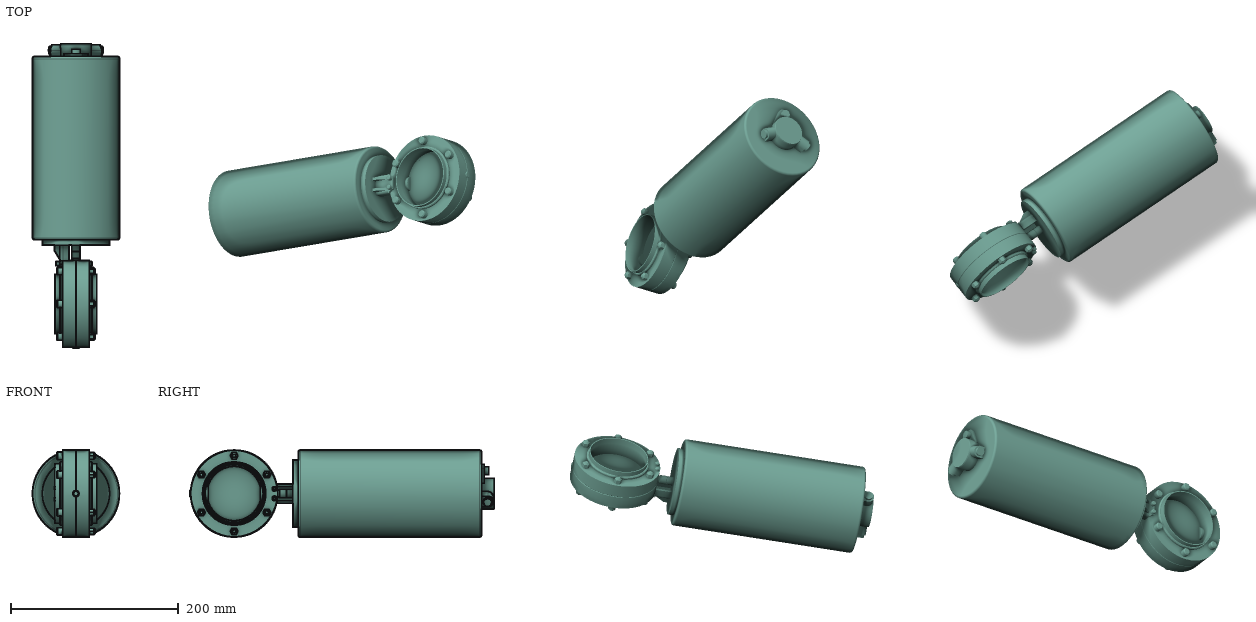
import cadquery as cq
import math


actuator_back = 295.3
actuator_front = 76.55
boss_front = 70.2
coupling_joint = 62.5
cap_back = 310.5
stem_tip = -53.0

outer_radius = 52.0
shell_fillet = 2.5
boss_radius = 40.2
rod_radius = 5.0
joint_chamfer = 0.55

cap_radius = 18.5
cap_edge_length = 1.5
cap_edge_depth = 0.5
plate_thickness = 3.3
plate_radius = 8.0
plate_height = 27.1
plate_foot_height = 12.0
plate_foot_half_width = 14.5
plug_radius = 4.9
plug_length = 5.5
port_tilt = 25
port_axis_height = 3.45
port_reach = 30.5
port_half_width = 7.0
port_axis_rise = 7.3
nozzle_radius = 5.0
nozzle_length = 3.3

flange_half_width = 16.0
parting_chamfer = 0.55
collar_radius = 38.0
collar_end = 19.3
collar_chamfer = 1.0
tube_radius = 35.5
tube_end = 25.0
bore_radius = 34.5
seat_radius = 32.5
seat_half_width = 2.2

bolt_count = 6
bolt_circle = 45.0
bolt_radius = 4.55
bolt_end = 23.1
head_chamfer = 1.27
nut_chamfer_length = 2.2
nut_chamfer_depth = 2.5

stem_radius = 3.5
stem_chamfer = 0.7
coupling_shoulder = 54.35
hub_radius = 8.7
hub_face = 31.0
hub_back = 35.5

sheet = 3.3
bracket_half_height = 11.5
channel_edge = 8.2
tab_end = 44.7
tab_shoulder = 47.3
tab_half_height = 8.5
tab_fillet = 2.2
gusset_depth = 6.5
gusset_thickness = 3.3
gusset_straight_end = 63.5
gusset_tip = 52.7
screw_y = 48.0
screw_spacing = 11.3
screw_radius = 2.73
screw_head_height = 4.9
screw_head_chamfer = 0.7
screw_end_length = 3.5
screw_end_chamfer = 1.0


def rod_along_y(radius, start, end, x=0, z=0):
    """Cylinder along Y between two Y places."""
    return cq.Workplane("XZ", origin=(x, start, z)).circle(radius).extrude(start - end)


def rod_along_x(radius, start, end, y=0, z=0):
    """Cylinder along X between two X places."""
    length = end - start
    return cq.Workplane(cq.Solid.makeCylinder(radius, length, cq.Vector(start, y, z), cq.Vector(1, 0, 0)))



def cable_plate():
    """Teardrop plate with a round plug; its flanks are tangent to the round top."""
    drop = plate_height - plate_foot_height
    distance = math.hypot(plate_foot_half_width, drop)
    flank = math.acos(plate_radius / distance) - math.atan2(drop, plate_foot_half_width)
    tangent_x = plate_radius * math.cos(flank)
    tangent_z = plate_height + plate_radius * math.sin(flank)
    plate = (
        cq.Workplane("XZ", origin=(0, actuator_back, 0))
        .moveTo(-plate_foot_half_width, plate_foot_height)
        .lineTo(plate_foot_half_width, plate_foot_height)
        .lineTo(tangent_x, tangent_z)
        .threePointArc((0, plate_height + plate_radius), (-tangent_x, tangent_z))
        .close()
        .extrude(-plate_thickness)
    )
    plug_start = actuator_back + plate_thickness
    plug = rod_along_y(plug_radius, actuator_back, plug_start + plug_length, z=plate_height)
    return plate.union(plug)


def air_port():
    """Port along +X, tilted down, with a round-backed body and a round nozzle."""
    port_axis_y = actuator_back + port_axis_rise
    body = (
        cq.Workplane("YZ")
        .moveTo(actuator_back, -port_half_width)
        .lineTo(port_axis_y, -port_half_width)
        .threePointArc((port_axis_y + port_half_width, 0), (port_axis_y, port_half_width))
        .lineTo(actuator_back, port_half_width)
        .close()
        .extrude(port_reach)
    )
    nozzle = rod_along_x(nozzle_radius, 0, port_reach + nozzle_length, y=port_axis_y)
    port = body.union(nozzle).rotate((0, 0, 0), (0, 1, 0), port_tilt)
    return port.translate((0, 0, port_axis_height))


def make_actuator():
    shell = rod_along_y(outer_radius, actuator_front, actuator_back).edges("%CIRCLE").fillet(shell_fillet)
    boss = rod_along_y(boss_radius, boss_front, actuator_front)
    rod = rod_along_y(rod_radius, coupling_joint, boss_front).faces("<Y").chamfer(joint_chamfer)
    cap = rod_along_y(cap_radius, actuator_back, cap_back)
    cap = cap.faces(">Y").chamfer(cap_edge_length, cap_edge_depth)
    port = air_port()
    actuator = shell.union(boss).union(rod).union(cap).union(cable_plate())
    return actuator.union(port).union(port.mirror("YZ"))



def stem_hubs():
    """Flat-faced hubs around the stem, one on each side, let into the bore wall."""
    hub = rod_along_y(hub_radius, hub_face, hub_back)
    return hub.union(hub.mirror("XZ"))


def make_disc():
    disc = rod_along_x(seat_radius, -seat_half_width, seat_half_width)
    driven_stem = (
        cq.Workplane("XY")
        .moveTo(0, hub_face)
        .lineTo(stem_radius, hub_face)
        .lineTo(stem_radius, outer_radius)
        .lineTo(rod_radius, coupling_shoulder)
        .lineTo(rod_radius, coupling_joint - joint_chamfer)
        .lineTo(rod_radius - joint_chamfer, coupling_joint)
        .lineTo(0, coupling_joint)
        .close()
        .revolve(360, (0, 0), (0, 1))
    )
    free_stem = rod_along_y(stem_radius, stem_tip, -hub_face).faces("<Y").chamfer(stem_chamfer)
    return disc.union(stem_hubs()).union(driven_stem).union(free_stem)



def valve_half():
    """Half body on the +X side, turned about X, with stem and hub recesses."""
    half = (
        cq.Workplane("XZ")
        .moveTo(0, seat_radius)
        .lineTo(0, outer_radius - parting_chamfer)
        .lineTo(parting_chamfer, outer_radius)
        .lineTo(flange_half_width, outer_radius)
        .lineTo(flange_half_width, collar_radius)
        .lineTo(collar_end - collar_chamfer, collar_radius)
        .lineTo(collar_end, collar_radius - collar_chamfer)
        .lineTo(collar_end, tube_radius)
        .lineTo(tube_end, tube_radius)
        .lineTo(tube_end, bore_radius)
        .lineTo(seat_half_width, bore_radius)
        .lineTo(seat_half_width, seat_radius)
        .close()
        .revolve(360, (0, 0), (1, 0))
    )
    stem_hole = rod_along_y(stem_radius, stem_tip, coupling_joint)
    return half.cut(stem_hole).cut(stem_hubs())


def around_bolt_circle(item):
    """Copies of an item at the top of the bolt circle, evenly spaced about X."""
    step = 360 / bolt_count
    return [item.rotate((0, 0, 0), (1, 0, 0), index * step) for index in range(bolt_count)]


def make_head_half():
    """-X half, carrying the round bolt heads."""
    half = valve_half().mirror("YZ")
    head = rod_along_x(bolt_radius, -bolt_end, -flange_half_width, z=bolt_circle)
    head = head.faces("<X").chamfer(head_chamfer)
    for copy in around_bolt_circle(head):
        half = half.union(copy)
    return half


def make_nut_half():
    """+X half, carrying the domed hexagon nuts and the ends of the bracket screws."""
    half = valve_half()
    hexagon = (
        cq.Workplane("YZ", origin=(flange_half_width, 0, bolt_circle))
        .polygon(6, 2 * bolt_radius)
        .extrude(bolt_end - flange_half_width)
    )
    dome = rod_along_x(bolt_radius, flange_half_width, bolt_end, z=bolt_circle)
    dome = dome.faces(">X").chamfer(nut_chamfer_length, nut_chamfer_depth)
    for copy in around_bolt_circle(hexagon.intersect(dome)):
        half = half.union(copy)
    for side in (-1, 1):
        screw_end = rod_along_x(
            screw_radius,
            flange_half_width,
            flange_half_width + screw_end_length,
            y=screw_y,
            z=side * screw_spacing / 2,
        )
        half = half.union(screw_end.faces(">X").chamfer(screw_end_chamfer))
    return half



web_outside = -flange_half_width - sheet
channel_inner_half_height = bracket_half_height - sheet
channel_end = math.sqrt(outer_radius**2 - channel_inner_half_height**2)


def bracket_channel():
    """Bent channel, open towards +X, with rounded outer corners."""
    length = boss_front - channel_end
    width = -channel_edge - web_outside
    middle_x = web_outside + width / 2
    middle_y = channel_end + length / 2
    channel = cq.Workplane("XY").box(width, length, 2 * bracket_half_height)
    channel = channel.translate((middle_x, middle_y, 0)).edges("|Y and <X").fillet(sheet)
    inside = cq.Workplane("XY").box(width, length, 2 * channel_inner_half_height)
    return channel.cut(inside.translate((middle_x + sheet, middle_y, 0)))


def bracket_tab():
    """Tapered tab on the flange face, with the heads of its two screws."""
    tab = (
        cq.Workplane("YZ", origin=(web_outside, 0, 0))
        .polyline([
            (channel_end, -bracket_half_height),
            (tab_shoulder, -tab_half_height),
            (tab_end, -tab_half_height),
            (tab_end, tab_half_height),
            (tab_shoulder, tab_half_height),
            (channel_end, bracket_half_height),
        ])
        .close()
        .extrude(sheet)
        .edges("|X and <Y")
        .fillet(tab_fillet)
    )
    for side in (-1, 1):
        z = side * screw_spacing / 2
        head = rod_along_x(screw_radius, web_outside - screw_head_height, web_outside, y=screw_y, z=z)
        tab = tab.union(head.faces("<X").chamfer(screw_head_chamfer))
    return tab


def bracket_gusset(bottom):
    """Tapered rib on the outside of the web."""
    return (
        cq.Workplane("XY", origin=(0, 0, bottom))
        .moveTo(web_outside, boss_front)
        .lineTo(web_outside - gusset_depth, boss_front)
        .lineTo(web_outside - gusset_depth, gusset_straight_end)
        .lineTo(web_outside, gusset_tip)
        .close()
        .extrude(gusset_thickness)
    )


def make_bracket():
    bracket = bracket_channel().union(bracket_tab())
    for bottom in (-channel_inner_half_height, channel_inner_half_height - gusset_thickness):
        bracket = bracket.union(bracket_gusset(bottom))
    return bracket


actuator = make_actuator()
disc = make_disc()
head_half = make_head_half()
nut_half = make_nut_half()
bracket = make_bracket()

result = cq.Compound.makeCompound([
    actuator.val(),
    disc.val(),
    head_half.val(),
    nut_half.val(),
    bracket.val(),
])